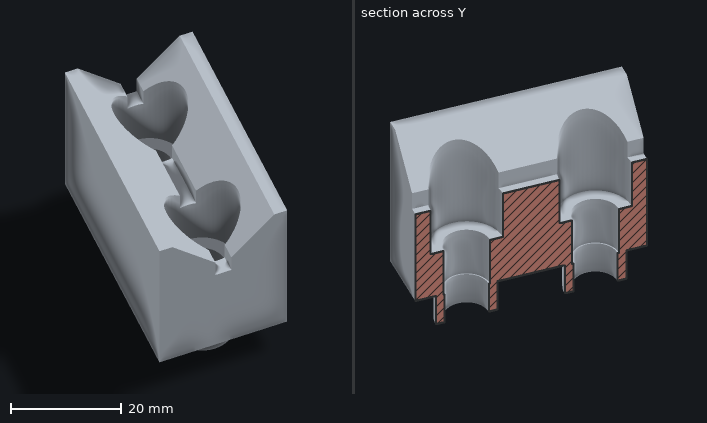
import cadquery as cq

length = 45.0
width = 25.0
body_height = 32.05
groove_width = 20.0
relief_width = 3.15
relief_depth = 12.0

first_sleeve_x = 10.0
sleeve_spacing = 25.0
sleeve_diameter = 12.0
sleeve_length = 6.5
counterbore_diameter = 14.0
counterbore_depth = 22.0
entry_diameter = 9.0
bore_diameter = 8.5

sleeve_centres = [(first_sleeve_x + i * sleeve_spacing, 0) for i in range(2)]


def cylinders(diameter, bottom, top):
    """Vertical cylinders on both sleeve axes."""
    return (
        cq.Workplane("XY", origin=(0, 0, bottom))
        .pushPoints(sleeve_centres)
        .circle(diameter / 2)
        .extrude(top - bottom)
    )


def grooved_block():
    """Block profile with 45-degree groove walls and a square relief slot."""
    v_bottom = body_height - (groove_width - relief_width) / 2
    return (
        cq.Workplane("YZ")
        .moveTo(0, 0)
        .lineTo(width / 2, 0)
        .lineTo(width / 2, body_height)
        .lineTo(groove_width / 2, body_height)
        .lineTo(relief_width / 2, v_bottom)
        .lineTo(relief_width / 2, body_height - relief_depth)
        .lineTo(0, body_height - relief_depth)
        .mirrorY()
        .extrude(length)
    )


counterbore_floor = body_height - counterbore_depth

result = grooved_block().union(cylinders(sleeve_diameter, -sleeve_length, 0))
result = result.cut(cylinders(counterbore_diameter, counterbore_floor, body_height))
result = result.cut(cylinders(entry_diameter, 0, counterbore_floor))
result = result.cut(cylinders(bore_diameter, -sleeve_length, 0))